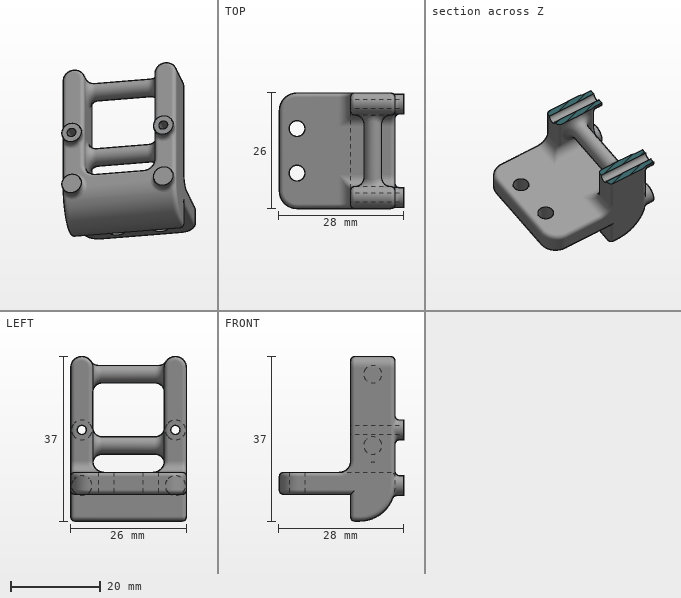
import cadquery as cq

width = 26.0
edge_radius = 1.0
sides = (-1, 1)

plate_bottom = 6.0
plate_top = 11.0
plate_corner_radius = 4.0
plate_hole_diameter = 3.5
plate_hole_x = plate_corner_radius
plate_hole_offset = 5.0

arm_front = 16.0
arm_back = 26.0
arm_top = 37.0
arm_width = 5.0
arm_mid_x = (arm_front + arm_back) / 2
arm_offset = (width - arm_width) / 2
inner_face_y = width / 2 - arm_width
heel_radius = 8.0
root_radius = arm_width / 2

bar_diameter = 4.0
lower_bar_z = 17.0
upper_bar_z = 33.0
bar_fillet = 1.99

boss_diameter = 4.5
boss_length = 2.0
boss_fillet = 1.0
upper_boss_z = 20.5
lower_boss_z = heel_radius
boss_heights = (lower_boss_z, upper_boss_z)
pin_hole_diameter = 2.0


def fillet_near(part, radius, points):
    """Round the edge nearest to each point, together with its tangent neighbours."""
    edges = [part.edges(cq.selectors.NearestToPointSelector(point)).val() for point in points]
    return cq.Workplane(part.val().fillet(radius, edges))


def make_body():
    """Plate with rounded corners, heel block and two round-topped arms, before any blending."""
    side_outline = (
        cq.Workplane("XZ", origin=(0, width / 2, 0))
        .moveTo(0, plate_top)
        .lineTo(0, plate_bottom)
        .lineTo(arm_front, plate_bottom)
        .lineTo(arm_front, 0)
        .lineTo(arm_back - heel_radius, 0)
        .radiusArc((arm_back, heel_radius), -heel_radius)
        .lineTo(arm_back, plate_top)
        .close()
    )
    base = side_outline.extrude(width).edges("|Z and <X").fillet(plate_corner_radius)
    half_width = arm_width / 2
    arm_outline = (
        cq.Workplane("YZ", origin=(arm_front, 0, 0))
        .moveTo(-half_width, plate_top)
        .lineTo(half_width, plate_top)
        .lineTo(half_width, arm_top - half_width)
        .threePointArc((0, arm_top), (-half_width, arm_top - half_width))
        .close()
    )
    arm = arm_outline.extrude(arm_back - arm_front)
    for side in sides:
        base = base.union(arm.translate((0, side * arm_offset, 0)))
    return base.clean()


def round_roots(part):
    """Blend the front and inner face of each arm into the top of the plate."""
    points = []
    for side in sides:
        points.append((arm_front, side * arm_offset, plate_top))
        points.append((arm_mid_x, side * inner_face_y, plate_top))
    return fillet_near(part, root_radius, points)


def round_edges(part):
    """Round the outer edges; the inside corner below the plate stays sharp."""
    points = [
        (0, 0, plate_top),
        (0, 0, plate_bottom),
        (arm_back, 0, plate_top),
        (arm_front, 0, 0),
    ]
    for side in sides:
        points.append((arm_front, side * width / 2, plate_bottom / 2))
    return fillet_near(part, edge_radius, points)


def add_lower_bar(part):
    """Join the arms with a turned bar whose flared ends run into the blend above the plate."""
    bar_radius = bar_diameter / 2
    flare_radius = bar_radius + bar_fillet
    flare_start = inner_face_y - bar_fillet
    bar = (
        cq.Workplane("XY", origin=(arm_mid_x, 0, lower_bar_z))
        .moveTo(0, -arm_offset)
        .lineTo(bar_radius, -arm_offset)
        .lineTo(bar_radius, -inner_face_y)
        .lineTo(flare_radius, -inner_face_y)
        .radiusArc((bar_radius, -flare_start), bar_fillet)
        .lineTo(bar_radius, flare_start)
        .radiusArc((flare_radius, inner_face_y), bar_fillet)
        .lineTo(bar_radius, inner_face_y)
        .lineTo(bar_radius, arm_offset)
        .lineTo(0, arm_offset)
        .close()
        .revolve(360, (0, 0, 0), (0, 1, 0))
    )
    return part.union(bar)


def add_upper_bar(part):
    """Join the arm tops with a bar filleted into the inner faces and the round tops."""
    bar = (
        cq.Workplane("XZ", origin=(arm_mid_x, 0, upper_bar_z))
        .circle(bar_diameter / 2)
        .extrude(arm_offset, both=True)
    )
    points = [(arm_mid_x, side * inner_face_y, upper_bar_z) for side in sides]
    return fillet_near(part.union(bar), bar_fillet, points)


def add_bosses(part):
    """Put two filleted bosses on the back of each arm."""
    points = []
    for side in sides:
        for height in boss_heights:
            boss = (
                cq.Workplane("YZ", origin=(arm_back - boss_length, side * arm_offset, height))
                .circle(boss_diameter / 2)
                .extrude(2 * boss_length)
            )
            part = part.union(boss)
            points.append((arm_back, side * arm_offset, height + boss_diameter / 2))
    return fillet_near(part, boss_fillet, points)


def cut_holes(part):
    """Drill the plate holes and the pin holes through the arms and upper bosses."""
    for side in sides:
        plate_hole = (
            cq.Workplane("XY", origin=(plate_hole_x, side * plate_hole_offset, plate_bottom))
            .circle(plate_hole_diameter / 2)
            .extrude(plate_top - plate_bottom)
        )
        pin_hole = (
            cq.Workplane("YZ", origin=(arm_front, side * arm_offset, upper_boss_z))
            .circle(pin_hole_diameter / 2)
            .extrude(arm_back + boss_length - arm_front)
        )
        part = part.cut(plate_hole).cut(pin_hole)
    return part


body = round_edges(round_roots(make_body()))
result = cut_holes(add_bosses(add_upper_bar(add_lower_bar(body))))